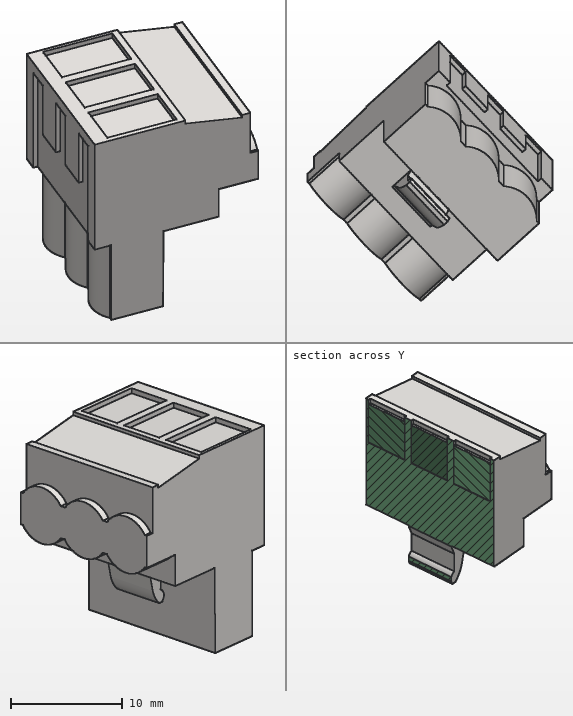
import cadquery as cq
import math

pole_count = 3
width = 15.0
depth = 16.1
height = 20.1
pitch = width / pole_count
pole_centres = [(i - (pole_count - 1) / 2) * pitch for i in range(pole_count)]

base_z = 8.36
rear_base_y = 12.22
tube_length = 0.78
rear_y = depth - tube_length

top_flat_depth = 8.92
slope_high_z = 19.75
slope_low_z = 18.75
lip_width = 0.8
lip_z = 19.03

tube_axis_z = 12.98
tube_radius = 2.75
tube_web_height = 3.14

column_front_y = 0.76
column_radius = 3.12
shroud_front_y = 1.65
shroud_rear_y = 6.8
shroud_taper = 0.06

comb_depth = 0.42
tooth_width = 2.05
comb_top_z = height - 1.15
comb_web_top_z = 13.47

pocket_width = 4.18
pocket_length = 6.81
pocket_front_y = 1.47
pocket_shift_x = -0.08
clamp_top_gap = 0.5
clamp_height = pocket_width

latch_width = pitch
latch_rear_root_y = 10.35
latch_front_root_y = 8.02
latch_arm_front_y = 8.45
latch_tip_z = 4.1


def box(x_size, y_size, z_size, x_middle, y_start, z_start):
    """Box centred across X, with its front face and underside at the given places."""
    return (
        cq.Workplane("XY")
        .box(x_size, y_size, z_size, centered=(True, False, False))
        .translate((x_middle, y_start, z_start))
    )


def across(outline, x_size):
    """Extrude an outline in the YZ plane by x_size, centred on the middle of the width."""
    return outline.extrude(x_size / 2, both=True)


def main_block():
    web_bottom_z = tube_axis_z - tube_web_height / 2
    web_top_z = tube_axis_z + tube_web_height / 2
    outline = (
        cq.Workplane("YZ")
        .moveTo(0, base_z)
        .lineTo(rear_base_y, base_z)
        .lineTo(rear_base_y, web_bottom_z)
        .lineTo(depth, web_bottom_z)
        .lineTo(depth, web_top_z)
        .lineTo(rear_y, web_top_z)
        .lineTo(rear_y, lip_z)
        .lineTo(rear_y - lip_width, lip_z)
        .lineTo(rear_y - lip_width, slope_low_z)
        .lineTo(top_flat_depth, slope_high_z)
        .lineTo(top_flat_depth, height)
        .lineTo(0, height)
        .close()
    )
    return across(outline, width)


def screw_tube(x_middle):
    return (
        cq.Workplane("XZ", origin=(x_middle, depth, tube_axis_z))
        .circle(tube_radius)
        .extrude(depth - rear_base_y)
    )


def plug_shroud():
    shroud = across(
        cq.Workplane("YZ")
        .moveTo(shroud_front_y, 0)
        .lineTo(shroud_rear_y - shroud_taper, 0)
        .lineTo(shroud_rear_y, base_z)
        .lineTo(shroud_front_y, base_z)
        .close(),
        width,
    )
    axis_to_flat = column_front_y + column_radius - shroud_front_y
    half_chord = math.sqrt(column_radius**2 - axis_to_flat**2)
    for x in pole_centres:
        column = (
            cq.Workplane("XY")
            .moveTo(x - half_chord, shroud_front_y)
            .threePointArc((x, column_front_y), (x + half_chord, shroud_front_y))
            .close()
            .extrude(base_z)
        )
        shroud = shroud.union(column)
    return shroud


def latch():
    outline = (
        cq.Workplane("YZ")
        .moveTo(latch_rear_root_y, base_z)
        .lineTo(10.1, 8.06)
        .lineTo(9.53, 5.59)
        .threePointArc((9.19, 4.78), (8.65, latch_tip_z))
        .lineTo(8.2, latch_tip_z)
        .lineTo(7.95, 4.65)
        .threePointArc((8.08, 5.02), (latch_arm_front_y, 5.37))
        .lineTo(latch_arm_front_y, 7.3)
        .lineTo(latch_front_root_y, base_z)
        .close()
    )
    return across(outline, latch_width)


def comb_recess():
    comb_width = (pole_count - 1) * pitch + tooth_width
    recess = box(comb_width, comb_depth, comb_web_top_z - base_z, 0, 0, base_z)
    for x in pole_centres:
        recess = recess.union(box(tooth_width, comb_depth, comb_top_z - base_z, x, 0, base_z))
    return recess


def clamp(x_middle):
    clamp_base_z = height - clamp_top_gap - clamp_height
    return box(pocket_width, pocket_length, clamp_height, x_middle, pocket_front_y, clamp_base_z)


def pocket(x_middle):
    pocket_depth = clamp_top_gap + clamp_height
    return box(pocket_width, pocket_length, pocket_depth, x_middle, pocket_front_y, height - pocket_depth)


def make_housing():
    body = main_block()
    for x in pole_centres:
        body = body.union(screw_tube(x))
    side_limits = box(width, depth, height, 0, 0, 0)
    body = body.intersect(side_limits)
    body = body.union(plug_shroud()).union(latch()).cut(comb_recess())
    for x in pole_centres:
        body = body.cut(pocket(x + pocket_shift_x))
    return body


housing = make_housing()
clamps = [clamp(x + pocket_shift_x) for x in pole_centres]

result = cq.Compound.makeCompound([housing.val(), *[body.val() for body in clamps]])